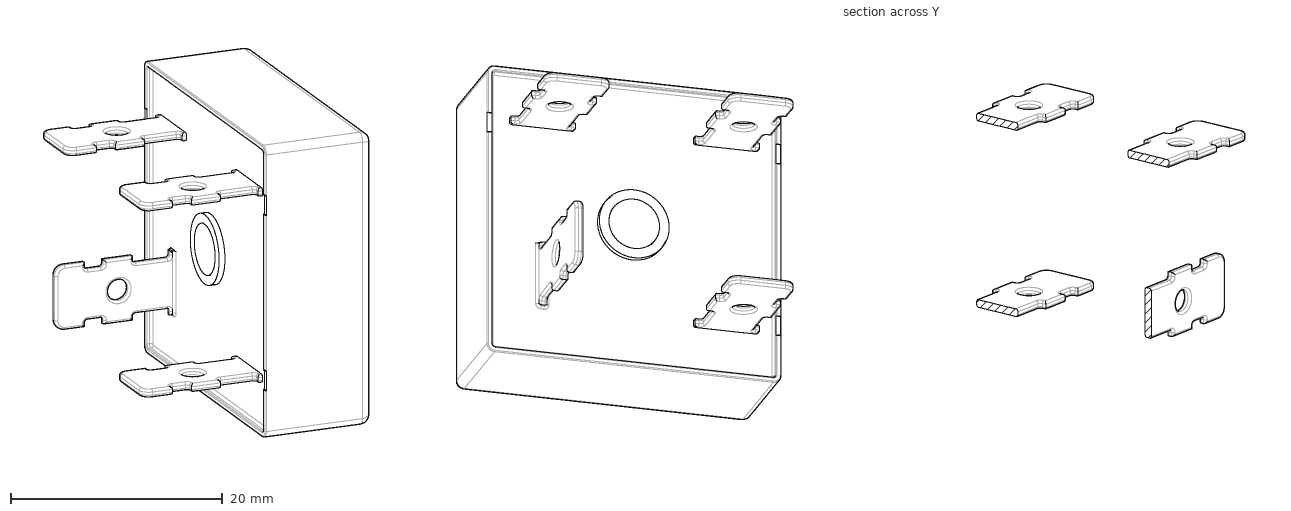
import cadquery as cq


CASE_SIZE = 29.02
CASE_DEPTH = 11.0
OVERALL_DEPTH = 22.7
CORNER_RADIUS = 0.75
BACK_EDGE_RADIUS = 1.0

RIM_WIDTH = 0.5
RECESS_DEPTH = 0.6
RECESS_FLOOR_RADIUS = 0.25
RECESS_CORNER_RADIUS = 0.35
RIM_ROUNDING = 0.1

NOTCH_WIDTH = 1.95
NOTCH_CENTRE_Z = 8.72

HOLE_DIAMETER = 5.0
BOSS_DIAMETER = 6.9

BLADE_THICKNESS = 0.8
BLADE_EDGE_RADIUS = 0.25
NECK_WIDTH = 5.0
HEAD_WIDTH = 6.4
LUG_START = 3.7
LUG_END = 6.7
HEAD_START = 8.65
BLADE_LENGTH = OVERALL_DEPTH - CASE_DEPTH
HEAD_CORNER_RADIUS = 1.0
NECK_CORNER_RADIUS = 0.3
BLADE_HOLE_DIAMETER = 2.1
ROOT_TOP = -0.15
EMBEDDED_LENGTH = 1.0
BLADE_ROOT = -RECESS_DEPTH - EMBEDDED_LENGTH

FLAT_BLADES = [(-8.94, 9.34), (9.22, 9.34), (9.22, -9.2)]
UPRIGHT_BLADE = (-8.9, -6.0)
ROOT_FILLET = 0.25
FILLET_MARGIN = 1.0
TOLERANCE = 0.01


def box(size_x, size_y, size_z, centre_x, start_y, centre_z):
    """Box centred in X and Z that starts at start_y and grows toward +Y."""
    solid = cq.Workplane("XY").box(size_x, size_y, size_z, centered=(True, False, True))
    return solid.translate((centre_x, start_y, centre_z))


def cylinder(diameter, start_y, length):
    """Cylinder on the Y axis that grows toward +Y from start_y."""
    plane = cq.Workplane("XZ", origin=(0, start_y, 0))
    return plane.circle(diameter / 2).extrude(-length)


def make_case():
    case = box(CASE_SIZE, CASE_DEPTH, CASE_SIZE, 0, 0, 0)
    case = case.edges("|Y").fillet(CORNER_RADIUS)
    case = case.faces(">Y").edges().fillet(BACK_EDGE_RADIUS)

    opening = CASE_SIZE - 2 * RIM_WIDTH
    recess = box(opening, RECESS_DEPTH, opening, 0, 0, 0)
    recess = recess.edges("|Y").fillet(RECESS_CORNER_RADIUS)
    recess = recess.faces(">Y").edges().fillet(RECESS_FLOOR_RADIUS)
    case = case.cut(recess)
    return case.faces("<Y").edges().fillet(RIM_ROUNDING)


def cut_rim_notches(case):
    for side, level in [(-1, 1), (1, 1), (1, -1)]:
        centre_x = side * (CASE_SIZE - RIM_WIDTH) / 2
        centre_z = level * NOTCH_CENTRE_Z
        case = case.cut(box(RIM_WIDTH, RIM_ROUNDING, NOTCH_WIDTH, centre_x, 0, centre_z))
    return case


def add_mounting_hole(case):
    boss = cylinder(BOSS_DIAMETER, 0, RECESS_DEPTH)
    return case.union(boss).cut(cylinder(HOLE_DIAMETER, 0, CASE_DEPTH))


def make_blade():
    """Flat terminal in the XY plane, centred on X = 0 and Z = 0."""
    widths = [
        (BLADE_ROOT, ROOT_TOP, HEAD_WIDTH),
        (ROOT_TOP, LUG_START, NECK_WIDTH),
        (LUG_START, LUG_END, HEAD_WIDTH),
        (LUG_END, HEAD_START, NECK_WIDTH),
        (HEAD_START, BLADE_LENGTH, HEAD_WIDTH),
    ]
    right_side = []
    for start, end, width in widths:
        right_side += [(width / 2, -start), (width / 2, -end)]
    left_side = [(-x, y) for x, y in reversed(right_side)]
    blade = cq.Workplane("XY").polyline(right_side + left_side).close()
    blade = blade.extrude(BLADE_THICKNESS / 2, both=True)

    for level in (ROOT_TOP, LUG_START, LUG_END, HEAD_START):
        for side in (-1, 1):
            corner = cq.selectors.NearestToPointSelector((side * NECK_WIDTH / 2, -level, 0))
            blade = blade.edges("|Z").edges(corner).fillet(NECK_CORNER_RADIUS)
    blade = blade.faces("<Y").edges("|Z").fillet(HEAD_CORNER_RADIUS)

    hole_centre = -(LUG_START + LUG_END) / 2
    hole = cq.Workplane("XY").center(0, hole_centre).circle(BLADE_HOLE_DIAMETER / 2)
    blade = blade.cut(hole.extrude(BLADE_THICKNESS, both=True))
    return blade.faces("|Z").edges().fillet(BLADE_EDGE_RADIUS)


def make_root_fillet():
    """Fillet where the upright blade meets the recess floor, cut off flush at its top."""
    centre_x, centre_z = UPRIGHT_BLADE
    top = centre_z + HEAD_WIDTH / 2
    bottom = centre_z - HEAD_WIDTH / 2

    post_length = HEAD_WIDTH + FILLET_MARGIN
    post_centre = bottom + post_length / 2
    post_height = 2 * ROOT_FILLET
    post_start = RECESS_DEPTH - post_height
    post = box(BLADE_THICKNESS, post_height, post_length, centre_x, post_start, post_centre)
    post = post.edges("|Y").fillet(BLADE_EDGE_RADIUS)

    base_width = BLADE_THICKNESS + 2 * FILLET_MARGIN
    base_length = post_length + 2 * FILLET_MARGIN
    base = box(base_width, FILLET_MARGIN, base_length, centre_x, RECESS_DEPTH, post_centre)

    joint = cq.selectors.BoxSelector(
        (centre_x - BLADE_THICKNESS, RECESS_DEPTH - TOLERANCE, bottom - TOLERANCE),
        (centre_x + BLADE_THICKNESS, RECESS_DEPTH + TOLERANCE, bottom + post_length + TOLERANCE),
    )
    flared = post.union(base).edges(joint).fillet(ROOT_FILLET)

    keep_depth = ROOT_FILLET + EMBEDDED_LENGTH / 2
    keep_start = RECESS_DEPTH - ROOT_FILLET
    keep_centre = top - post_length / 2
    keep = box(base_width, keep_depth, post_length, centre_x, keep_start, keep_centre)
    return flared.intersect(keep)


result = add_mounting_hole(cut_rim_notches(make_case()))
blade = make_blade()
for x, z in FLAT_BLADES:
    result = result.union(blade.translate((x, 0, z)))
upright = blade.rotate((0, 0, 0), (0, 1, 0), 90)
result = result.union(upright.translate((UPRIGHT_BLADE[0], 0, UPRIGHT_BLADE[1])))
result = result.union(make_root_fillet())